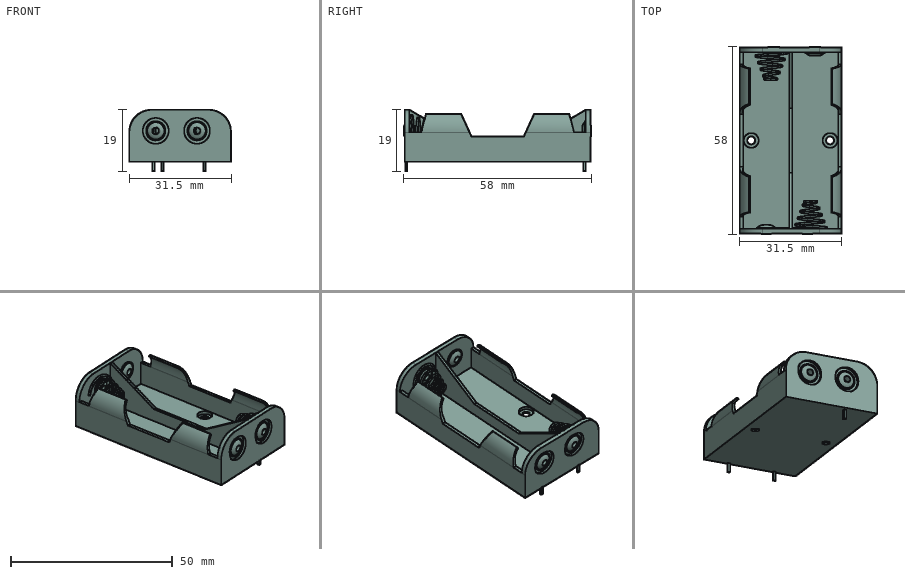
import cadquery as cq
import math

tray_width = 31.5
rivet_overhang = 0.25
overall_length = 58
tray_length = overall_length - 2 * rivet_overhang
end_wall_height = 16.1
end_wall_thickness = 1.5
end_corner_radius = 6.95
floor_thickness = 1.6
side_wall_thickness = 1.05
side_shoulder_height = end_wall_height - end_corner_radius
side_middle_height = 7.8

half_width = tray_width / 2
half_length = tray_length / 2
inner_end = half_length - end_wall_thickness

clip_top = 14.8
clip_foot_inner = 8.05
clip_tip_inner = 11.25
clip_tip_outer = 22.15
clip_foot_outer = 23.6
clip_outer_radius = end_corner_radius
clip_tip_thickness = 0.65
clip_middle_thickness = 0.7

divider_thickness = 0.9
divider_middle_height = 5.9
divider_flat_half_length = 10.0

screw_hole_spacing = 24.35
screw_hole_diameter = 2.4
screw_head_diameter = 4.6
screw_head_depth = 1.0

contact_height = 9.55
button_rivet_x = 7.55
spring_rivet_x = 5.2
recess_diameter = 8.0
recess_depth = 0.9
rivet_flange_diameter = 6.0
rivet_flange_thickness = 0.35
rivet_dome_diameter = 5.35
rivet_tip_diameter = 2.4
rivet_bore_diameter = 2.0
dome_bulge = 0.6
rivet_height = recess_depth + rivet_overhang

bridge_height = 2.9

spring_x = 6.15
spring_wire_diameter = 0.65
spring_base_radius = 4.85
spring_tip_radius = 1.8
spring_pitch = 2.05
spring_turns = 4
spring_flat_tip_turns = 0.75
spring_points_per_turn = 12
spring_wall_bite = 0.1

pin_length = 2.9
pin_width = 0.8
pin_bite = 0.6
button_pin_x = -8.25
spring_pin_x = 7.5
front_pin_y = -28.2
front_pin_depth = 0.65
back_pin_x = -5.4
back_pin_y = 26.85


def turned_half_way(shape):
    """The same shape at the opposite end of the tray."""
    return shape.rotate((0, 0, 0), (0, 0, 1), 180)


def side_profile_prism(points, x_start, thickness):
    """Prism of a (Y, Z) outline, extruded toward +X from x_start."""
    return cq.Workplane("YZ").workplane(offset=x_start).polyline(points).close().extrude(thickness)


def make_end_wall():
    """End wall on the -Y side with two rounded upper corners."""
    wall = cq.Workplane("XY").box(
        tray_width, end_wall_thickness, end_wall_height, centered=(True, False, False)
    )
    wall = wall.edges("|Y and >Z").fillet(end_corner_radius)
    return wall.translate((0, -half_length, 0))


def make_floor():
    floor = cq.Workplane("XY").box(tray_width, tray_length, floor_thickness, centered=(True, True, False))
    return (
        floor.faces(">Z").workplane(origin=(0, 0, 0))
        .pushPoints([(-screw_hole_spacing / 2, 0), (screw_hole_spacing / 2, 0)])
        .cboreHole(screw_hole_diameter, screw_head_diameter, screw_head_depth)
    )


def make_side_wall():
    """-X side wall: a straight lower part and two clips that curl inward and thin toward their tips."""
    tip_angle = math.asin((clip_top - side_shoulder_height) / clip_outer_radius)
    center_x = -half_width + clip_outer_radius

    def on_arc(radius, angle):
        return (center_x - radius * math.cos(angle), side_shoulder_height + radius * math.sin(angle))

    section = (
        cq.Workplane("XZ", origin=(0, half_length, 0))
        .moveTo(-half_width, 0)
        .lineTo(-half_width, side_shoulder_height)
        .threePointArc(on_arc(clip_outer_radius, tip_angle / 2), on_arc(clip_outer_radius, tip_angle))
        .lineTo(*on_arc(clip_outer_radius - clip_tip_thickness, tip_angle))
        .threePointArc(
            on_arc(clip_outer_radius - clip_middle_thickness, tip_angle / 2),
            (-half_width + side_wall_thickness, side_shoulder_height),
        )
        .lineTo(-half_width + side_wall_thickness, 0)
        .close()
        .extrude(tray_length)
    )
    plus_y_half = [
        (half_length, 0),
        (half_length, side_shoulder_height),
        (clip_foot_outer, side_shoulder_height),
        (clip_tip_outer, clip_top),
        (clip_tip_inner, clip_top),
        (clip_foot_inner, side_middle_height),
    ]
    minus_y_half = [(-y, z) for y, z in reversed(plus_y_half)]
    outline = side_profile_prism(plus_y_half + minus_y_half, -half_width, half_width)
    return section.intersect(outline)


def make_divider():
    """Wall between the cells, rising from a low middle to the tops of the end walls."""
    points = [
        (-inner_end, 0),
        (-inner_end, end_wall_height),
        (-divider_flat_half_length, divider_middle_height),
        (divider_flat_half_length, divider_middle_height),
        (inner_end, end_wall_height),
        (inner_end, 0),
    ]
    return side_profile_prism(points, -divider_thickness / 2, divider_thickness)


def make_rivet_head(seat_y, direction, x):
    """Flange with a truncated dome on the plane Y = seat_y, rising toward direction (+1 or -1)."""
    dome_radius = rivet_dome_diameter / 2
    tip_radius = rivet_tip_diameter / 2
    dome_rise = rivet_height - rivet_flange_thickness
    middle = (
        tip_radius + dome_bulge * (dome_radius - tip_radius),
        rivet_flange_thickness + dome_bulge * dome_rise,
    )
    head = (
        cq.Workplane("XY")
        .lineTo(rivet_flange_diameter / 2, 0)
        .lineTo(rivet_flange_diameter / 2, rivet_flange_thickness)
        .lineTo(dome_radius, rivet_flange_thickness)
        .threePointArc(middle, (tip_radius, rivet_height))
        .lineTo(0, rivet_height)
        .close()
        .revolve(360, (0, 0, 0), (0, 1, 0))
    )
    if direction < 0:
        head = head.mirror("XZ")
    return head.translate((x, seat_y, contact_height))


def cylinder_along_y(x, y_start, diameter, length):
    return cq.Workplane("XZ", origin=(x, y_start, contact_height)).circle(diameter / 2).extrude(-length)


def make_bore(x):
    """Hole through both heads of the -Y rivet at x."""
    length = rivet_overhang + end_wall_thickness + rivet_height
    return cylinder_along_y(x, -half_length - rivet_overhang, rivet_bore_diameter, length)


def add_rivet(end_wall, x):
    """Recess the -Y end wall and fit one hollow rivet at x."""
    recess = cylinder_along_y(x, -half_length, recess_diameter, recess_depth)
    outer_head = make_rivet_head(-half_length + recess_depth, -1, x)
    inner_head = make_rivet_head(-inner_end, 1, x)
    return end_wall.cut(recess).union(outer_head).union(inner_head).cut(make_bore(x))


def make_spring():
    """Conical spring with a flat tip coil, its wide end seated in the -Y end wall."""
    wire_radius = spring_wire_diameter / 2
    start_y = -inner_end + wire_radius - spring_wall_bite
    all_turns = spring_turns + spring_flat_tip_turns
    taper_per_turn = (spring_base_radius - spring_tip_radius) / spring_turns
    points = []
    for step in range(round(all_turns * spring_points_per_turn) + 1):
        turn = step / spring_points_per_turn
        rising_turn = min(turn, spring_turns)
        radius = spring_base_radius - taper_per_turn * rising_turn
        angle = 2 * math.pi * turn
        points.append(
            cq.Vector(
                spring_x + radius * math.cos(angle),
                start_y + spring_pitch * rising_turn,
                contact_height + radius * math.sin(angle),
            )
        )
    path = cq.Edge.makeSpline(points)
    start_plane = cq.Plane(origin=points[0], xDir=(1, 0, 0), normal=path.tangentAt(0))
    return cq.Workplane(start_plane).circle(wire_radius).sweep(cq.Workplane(path), isFrenet=True)


def make_bridge():
    """Thin strip on the -Y end wall that joins the two rivet flanges."""
    bridge = cq.Workplane("XY").box(
        button_rivet_x + spring_rivet_x,
        rivet_flange_thickness,
        bridge_height,
        centered=(False, False, True),
    )
    return bridge.translate((-button_rivet_x, -inner_end, contact_height))


def make_pin(x, y, depth):
    pin = cq.Workplane("XY").box(pin_width, depth, pin_length + pin_bite, centered=(True, True, False))
    return pin.translate((x, y, -pin_length))


end_wall = make_end_wall()
for rivet_x in (-button_rivet_x, spring_rivet_x):
    end_wall = add_rivet(end_wall, rivet_x)

side_wall = make_side_wall()
front_spring = make_spring()
back_spring = front_spring.mirror("XZ").translate((-2 * spring_x, 0, 0))
bridge = make_bridge()
for bridged_x in (-button_rivet_x, spring_rivet_x):
    bridge = bridge.cut(make_bore(bridged_x))

result = (
    make_floor()
    .union(side_wall)
    .union(turned_half_way(side_wall))
    .union(make_divider())
    .union(end_wall)
    .union(turned_half_way(end_wall))
    .union(bridge)
    .union(front_spring)
    .union(back_spring)
)
for pin_x, pin_y, pin_depth in (
    (button_pin_x, front_pin_y, front_pin_depth),
    (spring_pin_x, front_pin_y, front_pin_depth),
    (back_pin_x, back_pin_y, pin_width),
):
    result = result.union(make_pin(pin_x, pin_y, pin_depth))